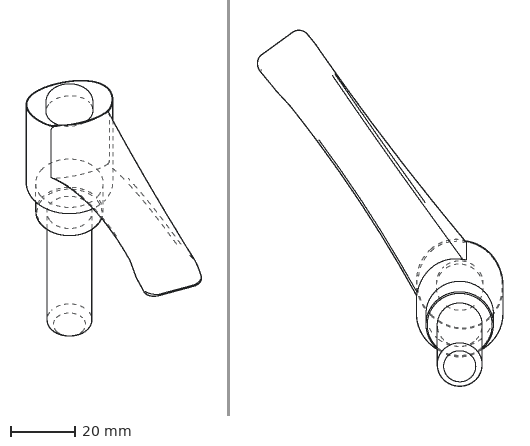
import cadquery as cq
import math


OVERALL_LENGTH = 107.92
OVERALL_HEIGHT = 110.93

STUD_DIAMETER = 14.0
STUD_LENGTH = 50.0
STUD_CHAMFER = 2.0
COLLAR_DIAMETER = 21.0
COLLAR_HEIGHT = 13.0
COLLAR_CHAMFER = 0.4

HUB_DIAMETER = 27.0
HUB_RADIUS = HUB_DIAMETER / 2
HUB_EDGE_ROUND = 0.5
RIM_MIDDLE_HEIGHT = 49.5
RIM_SLOPE = 0.254
RIM_CURVATURE = 0.0102
RIM_PEAK_HEIGHT = 53.4
RIM_SIDE_SPANS = 6
RIM_SAMPLES = 36

RIM_LAND = 0.25
DISH_RADIUS = HUB_RADIUS - RIM_LAND
DISH_FLOOR_HEIGHT = 45.0
DISH_FLOOR_SLOPE = 0.08
DISH_FLOOR_RADIUS = 7.0

CAP_DIAMETER = 14.6
CAP_TOP_HEIGHT = 50.6
CAP_ROUND = 1.25

HANDLE_TIP_X = OVERALL_LENGTH - HUB_RADIUS
HANDLE_TOP_HEIGHT = OVERALL_HEIGHT - STUD_LENGTH
HANDLE_TOP_START = (0.0, 50.0)
HANDLE_TOP_MIDDLE = (44.5, 58.2)
HANDLE_TOP_END = (87.0, HANDLE_TOP_HEIGHT)
TIP_CURVE_RADIUS = 10.05
TIP_CURVE_CENTRE = (86.0, 50.93)
TIP_CURVE_MIDDLE_ANGLE = 55.0
HANDLE_BOTTOM_START = (0.0, 20.8)
HANDLE_BOTTOM_MIDDLE = (39.8, 44.0)
FINGER_NOTCH = (76.5, 54.6)
FINGER_LIP_LOW = (82.8, 53.1)
UNDERSIDE_END = (98.0, 56.2)
FINGER_NOTCH_ROUND = 1.5
FINGER_LIP_ROUND = 3.0

WAIST_X = 52.0
WAIST_HALF_WIDTH = 8.2
FLANK_RADIUS = 610.0
TIP_CORNER_ROUND = 3.6
HANDLE_TOP_ROUND = 3.0
HANDLE_BOTTOM_ROUND = 0.8

HANDLE_ROOT_X = 9.6


def handle_half_width(x):
    """Half width of the handle, whose two flanks are arcs curving in to the waist."""
    return WAIST_HALF_WIDTH + FLANK_RADIUS - math.sqrt(FLANK_RADIUS**2 - (x - WAIST_X) ** 2)


def rim_height(x):
    """Height of the hub rim: a shallow parabola that climbs faster across the handle root."""
    def side(position):
        return RIM_MIDDLE_HEIGHT + RIM_SLOPE * position - RIM_CURVATURE * position**2

    if x <= HANDLE_ROOT_X:
        return side(x)
    climb = (x - HANDLE_ROOT_X) / (HUB_RADIUS - HANDLE_ROOT_X)
    root_height = side(HANDLE_ROOT_X)
    return root_height + climb * (RIM_PEAK_HEIGHT - root_height)


def make_stud_and_collar():
    stud = cq.Workplane("XY").circle(STUD_DIAMETER / 2).extrude(-STUD_LENGTH)
    stud = stud.faces("<Z").chamfer(STUD_CHAMFER)
    collar = cq.Workplane("XY").circle(COLLAR_DIAMETER / 2).extrude(COLLAR_HEIGHT)
    collar = collar.faces("<Z").chamfer(COLLAR_CHAMFER)
    return stud.union(collar)


def make_hub():
    cylinder = (
        cq.Workplane("XY", origin=(0, 0, COLLAR_HEIGHT))
        .circle(HUB_RADIUS)
        .extrude(RIM_PEAK_HEIGHT - COLLAR_HEIGHT)
        .faces("<Z")
        .edges()
        .fillet(HUB_EDGE_ROUND)
    )
    step = (HUB_RADIUS + HANDLE_ROOT_X) / RIM_SIDE_SPANS
    stations = [-HUB_RADIUS + i * step for i in range(RIM_SIDE_SPANS)] + [HANDLE_ROOT_X]
    rim = [(x, rim_height(x)) for x in stations]
    outline = (
        cq.Workplane("XZ")
        .moveTo(-HUB_RADIUS, 0)
        .lineTo(*rim[0])
        .spline(rim[1:], includeCurrent=True)
        .lineTo(HUB_RADIUS, RIM_PEAK_HEIGHT)
        .lineTo(HUB_RADIUS, 0)
        .close()
        .extrude(HUB_RADIUS, both=True)
    )
    return cylinder.intersect(outline)


def tip_curve_point(angle_degrees):
    """Point (X, Z) on the arc that rolls the handle top over the tip; 0 degrees faces +X."""
    angle = math.radians(angle_degrees)
    centre_x, centre_z = TIP_CURVE_CENTRE
    return (
        centre_x + TIP_CURVE_RADIUS * math.cos(angle),
        centre_z + TIP_CURVE_RADIUS * math.sin(angle),
    )


def flank_edges(solid, point):
    """The edge on each flank that lies nearest to the given (X, Z) point."""
    x, z = point
    half_width = handle_half_width(x)
    corners = [cq.Vertex.makeVertex(x, y, z) for y in (-half_width, half_width)]
    return [min(solid.Edges(), key=corner.distance) for corner in corners]


def make_handle_block():
    """Handle with its final top and flanks, still solid below and long at the tip."""
    block_end_x, block_end_z = tip_curve_point(0)
    side = (
        cq.Workplane("XZ")
        .moveTo(*HANDLE_TOP_START)
        .threePointArc(HANDLE_TOP_MIDDLE, HANDLE_TOP_END)
        .threePointArc(tip_curve_point(TIP_CURVE_MIDDLE_ANGLE), (block_end_x, block_end_z))
        .lineTo(block_end_x, 0)
        .lineTo(0, 0)
        .close()
        .extrude(HUB_RADIUS, both=True)
    )
    root_width = handle_half_width(0)
    end_x = UNDERSIDE_END[0]
    end_width = handle_half_width(end_x)
    plan = (
        cq.Workplane("XY")
        .moveTo(0, -root_width)
        .threePointArc((WAIST_X, -WAIST_HALF_WIDTH), (end_x, -end_width))
        .lineTo(end_x, end_width)
        .threePointArc((WAIST_X, WAIST_HALF_WIDTH), (0, root_width))
        .close()
        .extrude(HANDLE_TOP_HEIGHT)
    )
    block = side.intersect(plan).val().Solids()[0]
    top_edges = flank_edges(block, HANDLE_TOP_MIDDLE)
    tip_edges = flank_edges(block, tip_curve_point(TIP_CURVE_MIDDLE_ANGLE))
    return cq.Workplane(block.fillet(HANDLE_TOP_ROUND, top_edges + tip_edges))


def make_underside_waste():
    """Material below the arched underside, the finger notch and the lip at the tip."""
    waste = (
        cq.Workplane("XZ")
        .moveTo(*HANDLE_BOTTOM_START)
        .threePointArc(HANDLE_BOTTOM_MIDDLE, FINGER_NOTCH)
        .lineTo(*FINGER_LIP_LOW)
        .lineTo(*UNDERSIDE_END)
        .lineTo(UNDERSIDE_END[0], 0)
        .lineTo(0, 0)
        .close()
        .extrude(HUB_RADIUS, both=True)
    )
    for (x, z), radius in ((FINGER_LIP_LOW, FINGER_LIP_ROUND), (FINGER_NOTCH, FINGER_NOTCH_ROUND)):
        waste = waste.edges(cq.selectors.NearestToPointSelector((x, 0, z))).fillet(radius)
    return waste


def make_tip_waste():
    """Material beyond the flat tip and outside its two vertical corner rounds."""
    corner_x = HANDLE_TIP_X - TIP_CORNER_ROUND
    half_width = handle_half_width(corner_x)
    block_length = 2 * TIP_CORNER_ROUND
    block = (
        cq.Workplane("XY", origin=(corner_x, 0, 0))
        .rect(block_length, HUB_DIAMETER)
        .extrude(HANDLE_TOP_HEIGHT)
        .translate((block_length / 2, 0, 0))
    )
    tongue = (
        cq.Workplane("XY")
        .rect(2 * HANDLE_TIP_X, 2 * half_width)
        .extrude(HANDLE_TOP_HEIGHT)
        .edges("|Z and >X")
        .fillet(TIP_CORNER_ROUND)
    )
    return block.cut(tongue)


def make_handle():
    handle = make_handle_block().cut(make_underside_waste()).cut(make_tip_waste())
    solid = handle.val().Solids()[0]
    solid = solid.fillet(HANDLE_BOTTOM_ROUND, flank_edges(solid, HANDLE_BOTTOM_MIDDLE))
    hub_core = cq.Workplane("XY").circle(HUB_RADIUS).extrude(HANDLE_TOP_HEIGHT)
    return cq.Workplane(solid).cut(hub_core)


def make_dish():
    """Bowl whose wall runs straight from a slightly tilted floor circle up to the wavy hub rim."""
    angles = [2 * math.pi * i / RIM_SAMPLES for i in range(RIM_SAMPLES)]
    rim_points = [
        cq.Vector(
            DISH_RADIUS * math.cos(a),
            DISH_RADIUS * math.sin(a),
            rim_height(HUB_RADIUS * math.cos(a)),
        )
        for a in angles
    ]
    rim = cq.Edge.makeSpline(rim_points, periodic=True)
    floor = cq.Edge.makeCircle(
        DISH_FLOOR_RADIUS,
        cq.Vector(0, 0, DISH_FLOOR_HEIGHT),
        cq.Vector(-DISH_FLOOR_SLOPE, 0, 1),
    )
    lid = cq.Edge.makeCircle(DISH_RADIUS, cq.Vector(0, 0, HANDLE_TOP_HEIGHT))
    faces = [
        cq.Face.makeRuledSurface(floor, rim),
        cq.Face.makeRuledSurface(rim, lid),
        cq.Face.makeFromWires(cq.Wire.assembleEdges([floor])),
        cq.Face.makeFromWires(cq.Wire.assembleEdges([lid])),
    ]
    return cq.Workplane(cq.Solid.makeSolid(cq.Shell.makeShell(faces)).fix())


def make_cap():
    cap = (
        cq.Workplane("XY", origin=(0, 0, COLLAR_HEIGHT))
        .circle(CAP_DIAMETER / 2)
        .extrude(CAP_TOP_HEIGHT - COLLAR_HEIGHT)
    )
    return cap.faces(">Z").edges().fillet(CAP_ROUND)


result = make_stud_and_collar().union(make_hub()).union(make_handle())
result = result.cut(make_dish()).union(make_cap())